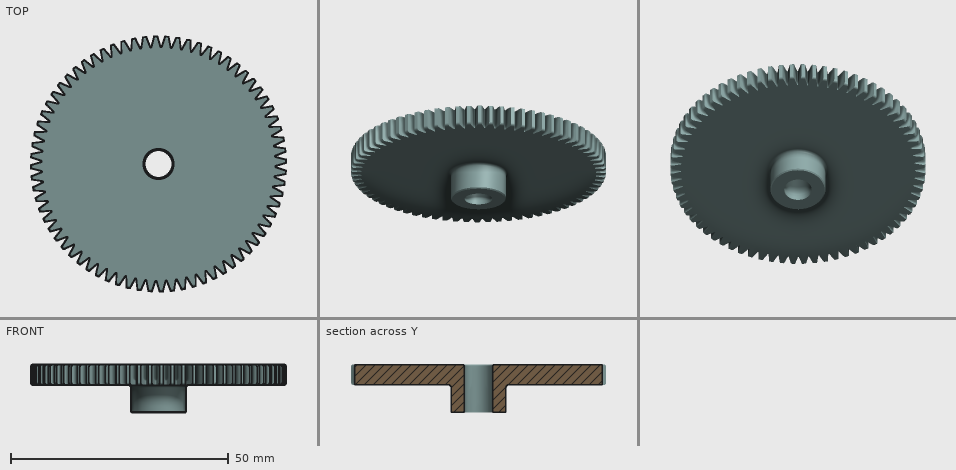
import cadquery as cq
import math

INCH = 25.4
diametral_pitch = 32
tooth_count = 72
flank_angle = math.radians(15.4)
first_tooth_angle = math.radians(1.25)

half_tooth_pitch = math.pi / tooth_count
module = INCH / diametral_pitch
tooth_backlash = 0.02
pitch_radius = tooth_count * module / 2
tip_radius = pitch_radius + module
flank_foot_radius = 26.98
root_radius = 26.87
cutter_radius = tip_radius + module / 2

face_width = 3 / 16 * INCH
overall_height = 7 / 16 * INCH
hub_length = overall_height - face_width
hub_radius = 1 / 2 * INCH / 2
bore_radius = 1 / 4 * INCH / 2

tip_edge_rounding = 0.6
hub_fillet = 0.6
hub_end_chamfer = 0.01 * INCH
bore_chamfer = 0.0125 * INCH

gear_bottom = hub_length


def polar(radius, angle):
    return (radius * math.cos(angle), radius * math.sin(angle))


def half_tooth_angle(radius):
    """Half the angle a straight-flanked tooth spans at a radius."""
    half_thickness_at_pitch = math.pi * module / 4 - tooth_backlash / 2
    half_thickness = half_thickness_at_pitch + (pitch_radius - radius) * math.tan(flank_angle)
    return half_thickness / radius


def tooth_gap():
    """Cutter for the gap centred on +X: straight flanks, rounded root, open beyond the tips."""
    half_foot = half_tooth_pitch - half_tooth_angle(flank_foot_radius)
    half_mouth = half_tooth_pitch - half_tooth_angle(cutter_radius)
    return (
        cq.Workplane("XY")
        .workplane(offset=gear_bottom)
        .moveTo(*polar(cutter_radius, -half_mouth))
        .lineTo(*polar(flank_foot_radius, -half_foot))
        .threePointArc((root_radius, 0), polar(flank_foot_radius, half_foot))
        .lineTo(*polar(cutter_radius, half_mouth))
        .close()
        .extrude(face_width)
        .val()
    )


def toothed_disc():
    """Disc with rounded rims, cut by one gap per tooth."""
    disc = (
        cq.Workplane("XY")
        .workplane(offset=gear_bottom)
        .circle(tip_radius)
        .extrude(face_width)
        .edges()
        .fillet(tip_edge_rounding)
    )
    gap = tooth_gap()
    gaps = []
    for index in range(tooth_count):
        angle = first_tooth_angle + (2 * index + 1) * half_tooth_pitch
        gaps.append(gap.rotate((0, 0, 0), (0, 0, 1), math.degrees(angle)))
    return disc.cut(cq.Workplane(cq.Compound.makeCompound(gaps)), clean=False)


def hub():
    """Turned hub profile, flaring by a fillet into the lower gear face."""
    return (
        cq.Workplane("XZ")
        .lineTo(hub_radius - hub_end_chamfer, 0)
        .lineTo(hub_radius, hub_end_chamfer)
        .lineTo(hub_radius, gear_bottom - hub_fillet)
        .tangentArcPoint((hub_radius + hub_fillet, gear_bottom), relative=False)
        .lineTo(0, gear_bottom)
        .close()
        .revolve(360, (0, 0, 0), (0, 1, 0))
    )


def bore():
    """Through bore with a chamfered mouth in the upper gear face."""
    return (
        cq.Workplane("XZ")
        .lineTo(bore_radius, 0)
        .lineTo(bore_radius, overall_height - bore_chamfer)
        .lineTo(bore_radius + bore_chamfer, overall_height)
        .lineTo(0, overall_height)
        .close()
        .revolve(360, (0, 0, 0), (0, 1, 0))
    )


gear = toothed_disc().union(hub(), clean=False).cut(bore(), clean=False)

result = cq.Compound.makeCompound([gear.val()])